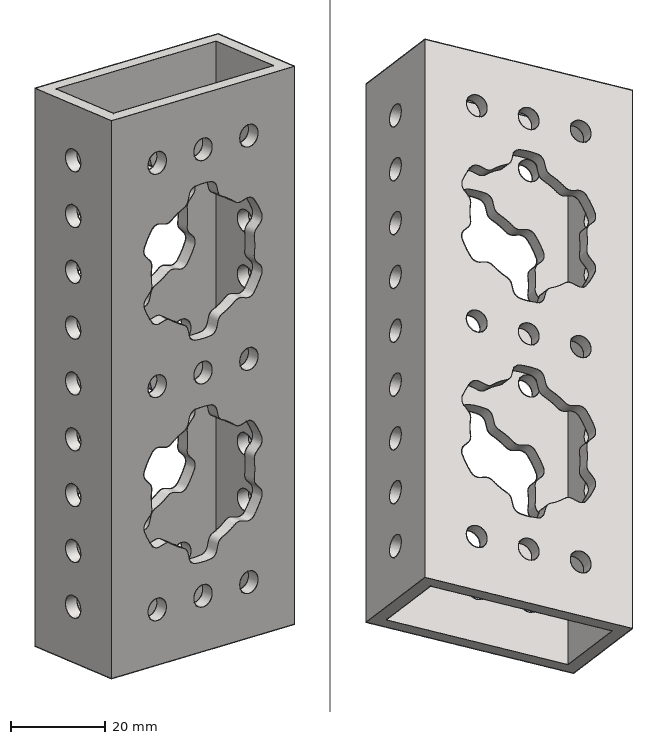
import cadquery as cq
import math

width = 25.4
depth = 50.8
height = 127.0
wall = 3.2

pitch = 12.7
hole_diameter = 5.1
narrow_wall_rows = 9
broad_wall_columns = 3
broad_wall_rows = 3
broad_row_spacing = 4 * pitch

window_offset = broad_row_spacing / 2
lobe_count = 6
waist_radius = 14.4
tip_radius = 17.7
lobe_root_half_width = 4.5
lobe_flank_angle = 15.0
tip_corner_radius = 2.0
root_corner_radius = 2.0


def tube():
    outside = cq.Workplane("XY").box(width, depth, height)
    bore = cq.Workplane("XY").box(width - 2 * wall, depth - 2 * wall, height)
    return outside.cut(bore)


def narrow_wall_holes():
    return (
        cq.Workplane("XZ")
        .rarray(pitch, pitch, 1, narrow_wall_rows)
        .circle(hole_diameter / 2)
        .extrude(depth / 2, both=True)
    )


def broad_wall_holes():
    return (
        cq.Workplane("YZ")
        .rarray(pitch, broad_row_spacing, broad_wall_columns, broad_wall_rows)
        .circle(hole_diameter / 2)
        .extrude(width / 2, both=True)
    )


def rotated(point, angle):
    """Turn a (y, z) point about the window centre by an angle in degrees."""
    y, z = point
    cosine = math.cos(math.radians(angle))
    sine = math.sin(math.radians(angle))
    return (y * cosine - z * sine, y * sine + z * cosine)


def lobe_corners():
    """Half-widths and heights of the root and tip corners of an upright lobe."""
    root_height = math.sqrt(waist_radius**2 - lobe_root_half_width**2)
    lean_y = -math.sin(math.radians(lobe_flank_angle))
    lean_z = math.cos(math.radians(lobe_flank_angle))
    along = lobe_root_half_width * lean_y + root_height * lean_z
    flank_length = -along + math.sqrt(along**2 + tip_radius**2 - waist_radius**2)
    root = (lobe_root_half_width, root_height)
    tip = (lobe_root_half_width + flank_length * lean_y, root_height + flank_length * lean_z)
    return root, tip


def round_corners(prism, distance, radius):
    """Fillet the lengthwise edges lying at a given distance from the prism axis."""
    tolerance = 0.01
    corners = prism.edges("|X").filter(
        lambda edge: abs(math.hypot(edge.Center().y, edge.Center().z) - distance) < tolerance
    )
    return corners.fillet(radius)


def window_cutter():
    """Waist circle with six lobes, as a prism along X with rounded corners."""
    root, tip = lobe_corners()
    lobe_step = 360.0 / lobe_count
    outline = cq.Workplane("YZ").moveTo(*root)
    for index in range(lobe_count):
        turn = index * lobe_step
        outline = (
            outline
            .lineTo(*rotated(tip, turn))
            .threePointArc(rotated((0, tip_radius), turn), rotated((-tip[0], tip[1]), turn))
            .lineTo(*rotated((-root[0], root[1]), turn))
            .threePointArc(
                rotated((0, waist_radius), turn + lobe_step / 2),
                rotated(root, turn + lobe_step),
            )
        )
    prism = outline.close().extrude(width / 2, both=True)
    prism = round_corners(prism, tip_radius, tip_corner_radius)
    return round_corners(prism, waist_radius, root_corner_radius)


result = tube().cut(narrow_wall_holes()).cut(broad_wall_holes())
window = window_cutter()
for side in (-1, 1):
    result = result.cut(window.translate((0, 0, side * window_offset)))